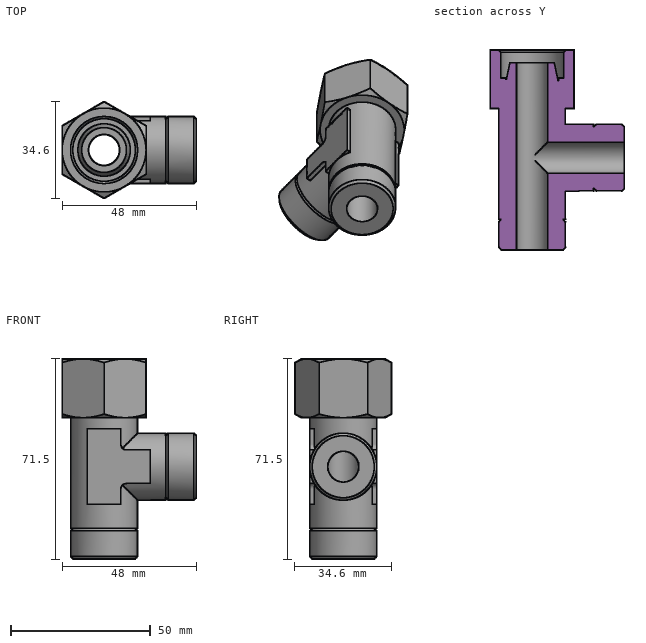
import cadquery as cq
import math

BODY_DIAMETER = 24.0
BORE_DIAMETER = 11.0
ARM_LENGTH = 33.0
SHOULDER = 22.0
THREAD_DEPTH = 0.92

PAD_WIDTH = 12.0
PAD_HEIGHT = 27.0
PAD_REACH = 16.5
PAD_FILLET = 2.0

NUT_FLATS = 30.0
NUT_TURN = 30.0
NUT_HEIGHT = 21.0
NUT_TOP = 38.5
NUT_FACE_DIAMETER = NUT_FLATS
NUT_CHAMFER_ANGLE = 30.0
NUT_MOUTH_DIAMETER = 24.0
NUT_BORE_DIAMETER = 22.38
NUT_BORE_DEPTH = 10.0

CONE_TIP_DIAMETER = 16.0
CONE_BASE_DEPTH = 11.0
CONE_HEIGHT = 6.5
CONE_HALF_ANGLE = 12.0

body_radius = BODY_DIAMETER / 2
nut_bottom = NUT_TOP - NUT_HEIGHT
nut_floor = NUT_TOP - NUT_BORE_DEPTH
cone_base = NUT_TOP - CONE_BASE_DEPTH
cone_tip_radius = CONE_TIP_DIAMETER / 2
cone_base_radius = cone_tip_radius + CONE_HEIGHT * math.tan(math.radians(CONE_HALF_ANGLE))


def threaded_arm():
    """Arm from the origin along -Z, with a relief groove and a chamfered end."""
    root_radius = body_radius - THREAD_DEPTH
    profile = [
        (0, 0),
        (body_radius, 0),
        (body_radius, -SHOULDER),
        (root_radius, -SHOULDER),
        (body_radius, -SHOULDER - THREAD_DEPTH),
        (body_radius, -ARM_LENGTH + THREAD_DEPTH),
        (root_radius, -ARM_LENGTH),
        (0, -ARM_LENGTH),
    ]
    return cq.Workplane("XZ").polyline(profile).close().revolve(360, (0, 0), (0, 1))


def turn_to_branch(shape):
    """Swing a shape lying along -Z onto +X."""
    return shape.rotate((0, 0, 0), (0, 1, 0), -90)


def wrench_pads():
    """T-shaped block as thick as the body, which leaves a flat pad on each side."""
    stem = cq.Workplane("XY").box(PAD_WIDTH, BODY_DIAMETER, PAD_HEIGHT)
    arm = cq.Workplane("XY").box(PAD_REACH, BODY_DIAMETER, PAD_WIDTH).translate((PAD_REACH / 2, 0, 0))
    inner_corners = cq.selectors.BoxSelector(
        (0, -BODY_DIAMETER, -PAD_WIDTH),
        (PAD_WIDTH, BODY_DIAMETER, PAD_WIDTH),
    )
    return stem.union(arm).edges("|Y").edges(inner_corners).fillet(PAD_FILLET)


def nut():
    """Hexagonal nut with both ends turned to a cone and a chamfered, stepped blind bore."""
    corner_radius = NUT_FLATS / math.sqrt(3)
    face_radius = NUT_FACE_DIAMETER / 2
    chamfer_drop = (corner_radius - face_radius) * math.tan(math.radians(NUT_CHAMFER_ANGLE))
    hexagon = (
        cq.Workplane("XY", origin=(0, 0, nut_bottom))
        .polygon(6, 2 * corner_radius)
        .extrude(NUT_HEIGHT)
        .rotate((0, 0, 0), (0, 0, 1), NUT_TURN)
    )

    mouth_radius = NUT_MOUTH_DIAMETER / 2
    bore_radius = NUT_BORE_DIAMETER / 2
    mouth_depth = mouth_radius - bore_radius
    turned_profile = [
        (0, nut_bottom),
        (face_radius, nut_bottom),
        (corner_radius, nut_bottom + chamfer_drop),
        (corner_radius, NUT_TOP - chamfer_drop),
        (face_radius, NUT_TOP),
        (mouth_radius, NUT_TOP),
        (bore_radius, NUT_TOP - mouth_depth),
        (bore_radius, nut_floor),
        (cone_base_radius, nut_floor),
        (cone_base_radius, cone_base),
        (0, cone_base),
    ]
    turned = cq.Workplane("XZ").polyline(turned_profile).close().revolve(360, (0, 0), (0, 1))
    return hexagon.intersect(turned)


def sealing_cone():
    """Tapered spigot rising from the shallow recess in the nut floor."""
    profile = [
        (0, cone_base),
        (cone_base_radius, cone_base),
        (cone_tip_radius, cone_base + CONE_HEIGHT),
        (0, cone_base + CONE_HEIGHT),
    ]
    return cq.Workplane("XZ").polyline(profile).close().revolve(360, (0, 0), (0, 1))


def bore(length):
    """Cylinder from the origin along -Z, to be removed from an arm."""
    return cq.Workplane("XY").circle(BORE_DIAMETER / 2).extrude(-length)


upper_run = cq.Workplane("XY").circle(body_radius).extrude(nut_bottom)
run = threaded_arm().union(upper_run)
branch = turn_to_branch(threaded_arm())
body = run.union(branch).union(wrench_pads())
solid_part = body.union(nut()).union(sealing_cone())

run_bore = bore(ARM_LENGTH + NUT_TOP).translate((0, 0, NUT_TOP))
branch_bore = turn_to_branch(bore(ARM_LENGTH))
result = solid_part.cut(run_bore).cut(branch_bore)